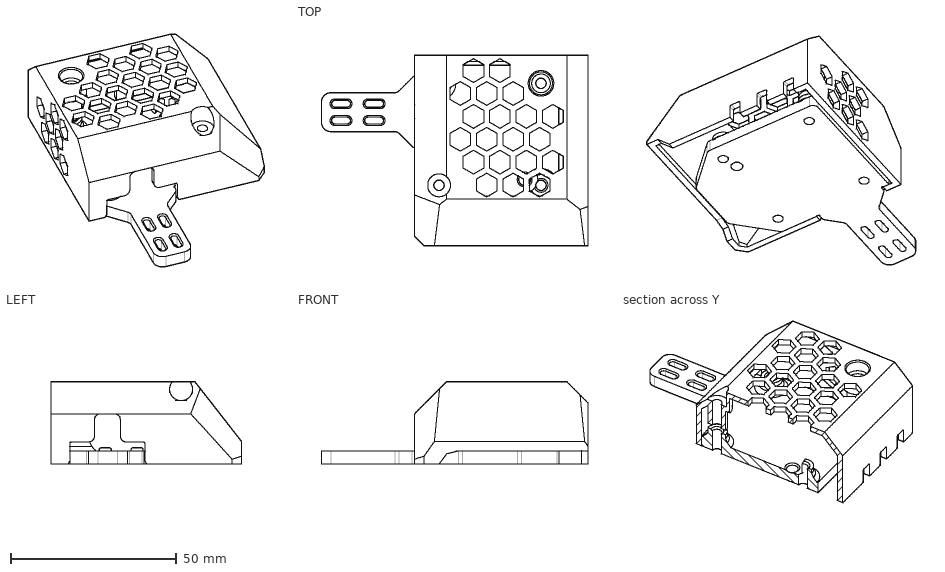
import cadquery as cq
import math

HOUSING_WIDTH = 52.6
HOUSING_DEPTH = 57.8
HOUSING_HEIGHT = 25.0
WALL = 2.0

LEFT_SLOPE = 9.7
RIGHT_SLOPE = 6.5
FRONT_LIP = 6.9
FRONT_SLOPE_DEPTH = 14.15
CORNER_CHAMFER = 2.9
FACET_NORMAL = (1.42, 1.1, -1.0)
LEFT_FACET_Z = -1.7
RIGHT_FACET_Z = 5.3

HEX_FLATS = 6.2
HEX_PITCH = 8.0
HEX_ROW = HEX_PITCH * math.sqrt(3) / 2
HEX_CENTER_X = 27.9
TOP_HEX_Y = 18.4
TOP_ROWS = [(-0.75, 3), (-1.25, 4), (-1.75, 4), (-1.25, 4), (-1.75, 3), (-1.25, 2)]
BACK_HEX_Z = 5.1
BACK_ROWS = [(-0.75, 3), (-0.25, 3), (-0.75, 2)]

SCREW_LEFT = 7.4
SCREW_FRONT = 18.35
SCREW_SPACING = 30.9
SCREW_RIGHT = SCREW_LEFT + SCREW_SPACING
SCREW_BACK = SCREW_FRONT + SCREW_SPACING
SCREW_RADIUS = 1.5

BOSS_RADIUS = 3.2
HEAD_CUP_RADIUS = 4.7
BOSS_BOTTOM = 9.9
HEAD_RADIUS = 3.5
LEFT_HEAD_FLOOR = 19.3
RIGHT_HEAD_FLOOR = 20.5
RIM_CHAMFER = 0.4
FLOOR_CHAMFER = 0.65

OPENING_CENTER = 40.7
OPENING_WIDTH = 22.8
OPENING_SHOULDER = 6.7
OPENING_UPPER_WIDTH = 7.85
OPENING_TOP = 15.3
OPENING_RADIUS = 1.85
OPENING_SHOULDER_RADIUS = 0.6
OPENING_FOOT_FLARE = 0.6
OPENING_FOOT_HEIGHT = 1.0

SIDE_NOTCH_WIDTH = 3.55
SIDE_NOTCH_SPACING = 9.6
SIDE_NOTCH_COUNT = 3
SIDE_NOTCH_FIRST = 31.7
SIDE_NOTCH_HEIGHT = 4.9
SIDE_NOTCH_RADIUS = 0.5
FRONT_NOTCH_LEFT = 7.4
FRONT_NOTCH_KNEE = (9.8, 3.15)
FRONT_NOTCH_SHOULDER = 13.3
FRONT_NOTCH_DEPTH = 4.05

PLATE_THICKNESS = 4.05
PLATE_LEFT = 2.0
PLATE_RIGHT = 43.7
PLATE_FRONT = 4.45
PLATE_BACK = 54.7
PLATE_CHAMFER = 11.8
PLATE_RADIUS = 1.85
NECK_FRONT = 29.6
NECK_BACK = 52.0
TAB_CENTER = 40.5
TAB_WIDTH = 11.9
TAB_END = HOUSING_WIDTH - 80.8
TAB_RADIUS = 3.0
FLARE_START = -5.2

SLOT_LENGTH = 5.65
SLOT_WIDTH = 2.0
SLOT_CHAMFER = 0.5
SLOT_CENTER_X = -17.2
SLOT_SPACING_X = 10.0
SLOT_SPACING_Y = 5.1

STANDOFF_TOP = 8.25
STANDOFF_RADIUS = 3.2
STANDOFF_FOOT_RADIUS = 5.1
STANDOFF_FOOT_TOP = 5.4
STANDOFF_WAIST_RADIUS = 3.8
STANDOFF_WAIST_TOP = 6.8
STANDOFF_HOLE_CHAMFER = 0.6

CABLE_HOLE = (33.4, 20.1)
CABLE_HOLE_RADIUS = 1.8
CABLE_HOLE_CHAMFER = 0.5
CABLE_CLEARANCE_RADIUS = 4.0

FAR = 242.5


def cylinder(x, y, radius, bottom, top):
    return cq.Workplane("XY", origin=(x, y, bottom)).circle(radius).extrude(top - bottom)


def cone(x, y, bottom_radius, bottom, top_radius, top):
    solid = cq.Solid.makeCone(bottom_radius, top_radius, top - bottom, cq.Vector(x, y, bottom))
    return cq.Workplane(obj=solid)


def trim(body, point, inward, inset):
    """Cut away what lies outside the plane through point, moved inward by inset."""
    direction = cq.Vector(*inward).normalized()
    origin = cq.Vector(*point) + direction * inset
    waste = cq.Workplane(cq.Plane(origin=origin, normal=-direction)).rect(FAR, FAR).extrude(FAR)
    return body.cut(waste)


def housing_form(inset):
    """The faceted outer form, with every face except the bottom moved inward by inset."""
    form = cq.Workplane("XY").box(
        HOUSING_WIDTH - 2 * inset,
        HOUSING_DEPTH - 2 * inset,
        HOUSING_HEIGHT - inset,
        centered=False,
    )
    form = form.translate((inset, inset, 0))
    front_rise = HOUSING_HEIGHT - FRONT_LIP
    nx, ny, nz = FACET_NORMAL
    form = trim(form, (LEFT_SLOPE, 0, HOUSING_HEIGHT), (1, 0, -1), inset)
    form = trim(form, (HOUSING_WIDTH - RIGHT_SLOPE, 0, HOUSING_HEIGHT), (-1, 0, -1), inset)
    form = trim(form, (0, 0, FRONT_LIP), (0, front_rise, -FRONT_SLOPE_DEPTH), inset)
    form = trim(form, (0, 0, LEFT_FACET_Z), (nx, ny, nz), inset)
    form = trim(form, (HOUSING_WIDTH, 0, RIGHT_FACET_Z), (-nx, ny, nz), inset)
    return trim(form, (CORNER_CHAMFER, 0, 0), (1, 1, 0), inset)


def honeycomb(plane, first_row, rows):
    """Hexagonal prisms, one wall thick, with two flats parallel to the plane's second axis."""
    centers = []
    for row, (first, count) in enumerate(rows):
        for cell in range(count):
            centers.append((HEX_CENTER_X + (first + cell) * HEX_PITCH, first_row + row * HEX_ROW))
    corner_radius = HEX_FLATS / math.sqrt(3)
    angles = [math.radians(60 * k + 30) for k in range(6)]
    corners = [(corner_radius * math.cos(a), corner_radius * math.sin(a)) for a in angles]
    hexagon = cq.Sketch().polygon(corners + corners[:1])
    return cq.Workplane(plane).pushPoints(centers).placeSketch(hexagon).extrude(WALL)


def left_opening():
    half = OPENING_WIDTH / 2
    upper_half = OPENING_UPPER_WIDTH / 2
    opening = (
        cq.Workplane("YZ", origin=(0, OPENING_CENTER, 0))
        .moveTo(-half - OPENING_FOOT_FLARE, 0)
        .lineTo(-half, OPENING_FOOT_HEIGHT)
        .lineTo(-half, OPENING_SHOULDER)
        .lineTo(-upper_half, OPENING_SHOULDER)
        .lineTo(-upper_half, OPENING_TOP)
        .lineTo(upper_half, OPENING_TOP)
        .lineTo(upper_half, OPENING_SHOULDER)
        .lineTo(half, OPENING_SHOULDER)
        .lineTo(half, OPENING_FOOT_HEIGHT)
        .lineTo(half + OPENING_FOOT_FLARE, 0)
        .close()
        .extrude(2 * WALL)
    )
    near_shoulder = OPENING_SHOULDER - 0.8
    upper_corners = cq.selectors.BoxSelector(
        (0, OPENING_CENTER - half + 0.8, near_shoulder), (FAR, OPENING_CENTER + half - 0.8, FAR)
    )
    outer_corners = cq.selectors.BoxSelector((0, 0, near_shoulder), (FAR, FAR, FAR)) - upper_corners
    opening = opening.edges("|X").edges(upper_corners).fillet(OPENING_RADIUS)
    return opening.edges("|X").edges(outer_corners).fillet(OPENING_SHOULDER_RADIUS)


def side_notches():
    notch = (
        cq.Workplane("XY")
        .box(2 * WALL, SIDE_NOTCH_WIDTH, SIDE_NOTCH_HEIGHT, centered=(True, True, False))
        .edges("|X and >Z")
        .fillet(SIDE_NOTCH_RADIUS)
    )
    notches = cq.Workplane("XY")
    for index in range(SIDE_NOTCH_COUNT):
        y = SIDE_NOTCH_FIRST + index * SIDE_NOTCH_SPACING
        notches = notches.add(notch.translate((HOUSING_WIDTH - WALL / 2, y, 0)))
    return notches.combine()


def front_notch():
    profile = (
        cq.Workplane("XZ")
        .moveTo(FRONT_NOTCH_LEFT, 0)
        .lineTo(*FRONT_NOTCH_KNEE)
        .lineTo(FRONT_NOTCH_SHOULDER, PLATE_THICKNESS)
        .lineTo(HOUSING_WIDTH, PLATE_THICKNESS)
        .lineTo(HOUSING_WIDTH, 0)
        .close()
        .extrude(-FRONT_NOTCH_DEPTH - PLATE_THICKNESS)
    )
    return trim(profile, (0, FRONT_NOTCH_DEPTH, PLATE_THICKNESS), (0, -1, -1), 0)


def boss(x, y, head_floor):
    post = cylinder(x, y, BOSS_RADIUS, BOSS_BOTTOM, HOUSING_HEIGHT)
    return post.union(cylinder(x, y, HEAD_CUP_RADIUS, head_floor - WALL, HOUSING_HEIGHT))


def left_screw_hole():
    shank = cylinder(SCREW_LEFT, SCREW_FRONT, SCREW_RADIUS, 0, HOUSING_HEIGHT)
    return shank.union(cylinder(SCREW_LEFT, SCREW_FRONT, HEAD_RADIUS, LEFT_HEAD_FLOOR, HOUSING_HEIGHT))


def right_screw_hole():
    x, y = SCREW_RIGHT, SCREW_BACK
    bore_end = RIGHT_HEAD_FLOOR + FLOOR_CHAMFER
    rim_start = HOUSING_HEIGHT - RIM_CHAMFER
    shank = cylinder(x, y, SCREW_RADIUS, 0, HOUSING_HEIGHT)
    floor = cone(x, y, HEAD_RADIUS - FLOOR_CHAMFER, RIGHT_HEAD_FLOOR, HEAD_RADIUS, bore_end)
    bore = cylinder(x, y, HEAD_RADIUS, bore_end, HOUSING_HEIGHT)
    rim = cone(x, y, HEAD_RADIUS, rim_start, HEAD_RADIUS + RIM_CHAMFER, HOUSING_HEIGHT)
    return shank.union(floor).union(bore).union(rim)


def make_housing():
    outside = housing_form(0)
    bosses = boss(SCREW_LEFT, SCREW_FRONT, LEFT_HEAD_FLOOR).union(
        boss(SCREW_RIGHT, SCREW_BACK, RIGHT_HEAD_FLOOR)
    )
    top_plane = cq.Plane.XY(origin=(0, 0, HOUSING_HEIGHT - WALL))
    back_plane = cq.Plane.XZ(origin=(0, HOUSING_DEPTH, 0))
    shell = outside.cut(housing_form(WALL)).union(bosses.intersect(outside))
    shell = shell.cut(left_screw_hole()).cut(right_screw_hole())
    shell = shell.cut(honeycomb(top_plane, TOP_HEX_Y, TOP_ROWS))
    shell = shell.cut(honeycomb(back_plane, BACK_HEX_Z, BACK_ROWS))
    return shell.cut(left_opening()).cut(side_notches()).cut(front_notch())


def plate_blank():
    tab_front = TAB_CENTER - TAB_WIDTH / 2
    tab_back = TAB_CENTER + TAB_WIDTH / 2
    flare_front_end = FLARE_START + tab_front - NECK_FRONT
    flare_back_end = FLARE_START + NECK_BACK - tab_back
    blank = (
        cq.Workplane("XY")
        .moveTo(PLATE_LEFT + PLATE_CHAMFER, PLATE_FRONT)
        .lineTo(PLATE_RIGHT - PLATE_CHAMFER, PLATE_FRONT)
        .lineTo(PLATE_RIGHT, PLATE_FRONT + PLATE_CHAMFER)
        .lineTo(PLATE_RIGHT, PLATE_BACK)
        .lineTo(PLATE_LEFT, PLATE_BACK)
        .lineTo(PLATE_LEFT, NECK_BACK)
        .lineTo(flare_back_end, NECK_BACK)
        .lineTo(FLARE_START, tab_back)
        .lineTo(TAB_END, tab_back)
        .lineTo(TAB_END, tab_front)
        .lineTo(FLARE_START, tab_front)
        .lineTo(flare_front_end, NECK_FRONT)
        .lineTo(PLATE_LEFT, NECK_FRONT)
        .lineTo(PLATE_LEFT, PLATE_FRONT + PLATE_CHAMFER)
        .close()
        .extrude(PLATE_THICKNESS)
    )
    blank = blank.edges("|Z and <X").fillet(TAB_RADIUS)
    flare = cq.selectors.BoxSelector((FLARE_START - 0.1, 0, 0), (FLARE_START + 0.1, FAR, FAR))
    neck = cq.selectors.BoxSelector((FLARE_START, 0, 0), (PLATE_LEFT - 0.8, NECK_FRONT + 0.8, FAR))
    corners = cq.selectors.BoxSelector((PLATE_LEFT + 0.8, 0, 0), (FAR, FAR, FAR))
    return blank.edges("|Z").edges(flare + neck + corners).fillet(PLATE_RADIUS)


def standoff(x, y):
    foot = cone(x, y, STANDOFF_FOOT_RADIUS, PLATE_THICKNESS, STANDOFF_WAIST_RADIUS, STANDOFF_FOOT_TOP)
    waist = cone(x, y, STANDOFF_WAIST_RADIUS, STANDOFF_FOOT_TOP, STANDOFF_RADIUS, STANDOFF_WAIST_TOP)
    post = cylinder(x, y, STANDOFF_RADIUS, STANDOFF_WAIST_TOP, STANDOFF_TOP)
    return foot.union(waist).union(post)


def tab_slots():
    grid = (SLOT_SPACING_X, SLOT_SPACING_Y, 2, 2)
    center = cq.Workplane("XY", origin=(SLOT_CENTER_X, TAB_CENTER, 0))
    slots = center.rarray(*grid).slot2D(SLOT_LENGTH, SLOT_WIDTH).extrude(PLATE_THICKNESS)
    mouths = (
        center.workplane(offset=PLATE_THICKNESS)
        .rarray(*grid)
        .slot2D(SLOT_LENGTH + 2 * SLOT_CHAMFER, SLOT_WIDTH + 2 * SLOT_CHAMFER)
        .extrude(-SLOT_CHAMFER, taper=45)
    )
    return slots.union(mouths)


def chamfered_hole(x, y, radius, top, chamfer):
    mouth = cone(x, y, radius, top - chamfer, radius + chamfer, top)
    return cylinder(x, y, radius, 0, top).union(mouth)


def make_plate():
    plate = plate_blank()
    screws = [(x, y) for x in (SCREW_LEFT, SCREW_RIGHT) for y in (SCREW_FRONT, SCREW_BACK)]
    for x, y in screws:
        plate = plate.union(standoff(x, y))
    for x, y in screws:
        plate = plate.cut(chamfered_hole(x, y, SCREW_RADIUS, STANDOFF_TOP, STANDOFF_HOLE_CHAMFER))
    plate = plate.cut(chamfered_hole(*CABLE_HOLE, CABLE_HOLE_RADIUS, PLATE_THICKNESS, CABLE_HOLE_CHAMFER))
    relief = cylinder(*CABLE_HOLE, CABLE_CLEARANCE_RADIUS, PLATE_THICKNESS, STANDOFF_TOP)
    return plate.cut(relief).cut(tab_slots())


housing = make_housing()
plate = make_plate()
result = cq.Compound.makeCompound([housing.val(), plate.val()])